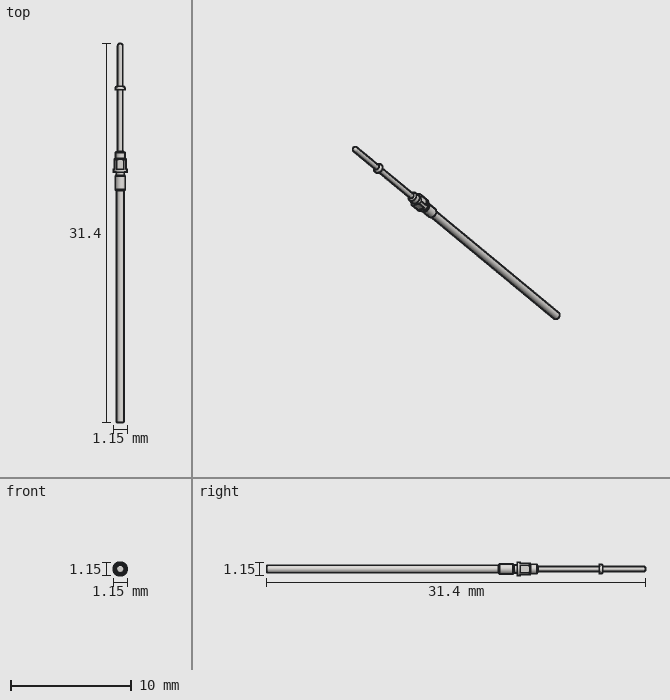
import math

import cadquery as cq

total_length = 31.4
tip_y = total_length / 2

plunger_radius = 0.45 / 2
collar_radius = 0.8 / 2
shoulder_radius = 0.8 / 2
head_radius = 1.15 / 2
neck_radius = 0.68 / 2
sleeve_radius = 0.85 / 2
barrel_radius = 0.65 / 2
barrel_end_fillet = 0.15

collar_start = 3.55
collar_end = 3.85
shoulder_start = 8.92
shoulder_end = 9.53
flats_end = 10.4
head_end = 10.65
sleeve_start = 10.9
sleeve_end = 12.2

shoulder_taper = 0.13
head_taper = 0.12
sleeve_taper = 0.12

flats_width = 0.98


def at(radius, station):
    """Profile point (Y, Z) at a radius and a distance from the tip."""
    return (tip_y - station, radius)


def make_turned_body():
    """The whole pin as one profile turned about the Y axis."""
    diagonal = math.sqrt(0.5)
    tip_dome_middle = at(plunger_radius * diagonal, plunger_radius * (1 - diagonal))
    collar_round = collar_radius - plunger_radius
    collar_round_middle = at(
        plunger_radius + collar_round * diagonal,
        collar_start + collar_round * (1 - diagonal),
    )
    fillet_inset = barrel_end_fillet * (1 - diagonal)
    profile = (
        cq.Workplane("YZ")
        .moveTo(*at(0, 0))
        .threePointArc(tip_dome_middle, at(plunger_radius, plunger_radius))
        .lineTo(*at(plunger_radius, collar_start))
        .threePointArc(collar_round_middle, at(collar_radius, collar_start + collar_round))
        .lineTo(*at(collar_radius, collar_end))
        .lineTo(*at(plunger_radius, collar_end))
        .lineTo(*at(plunger_radius, shoulder_start))
        .lineTo(*at(shoulder_radius, shoulder_start + shoulder_taper))
        .lineTo(*at(shoulder_radius, shoulder_end))
        .lineTo(*at(head_radius, shoulder_end + head_taper))
        .lineTo(*at(head_radius, head_end))
        .lineTo(*at(neck_radius, head_end))
        .lineTo(*at(neck_radius, sleeve_start))
        .lineTo(*at(sleeve_radius, sleeve_start + sleeve_taper))
        .lineTo(*at(sleeve_radius, sleeve_end - sleeve_taper))
        .lineTo(*at(barrel_radius, sleeve_end))
        .lineTo(*at(barrel_radius, total_length - barrel_end_fillet))
        .threePointArc(
            at(barrel_radius - fillet_inset, total_length - fillet_inset),
            at(barrel_radius - barrel_end_fillet, total_length),
        )
        .lineTo(*at(0, total_length))
        .close()
    )
    return profile.revolve(360, (0, 0, 0), (1, 0, 0))


def make_flats_cutter():
    """Square tube that trims the front of the head to four flats, facing X and Z."""
    outer_width = 4 * head_radius
    return (
        cq.Workplane("XZ", origin=(0, tip_y - shoulder_end, 0))
        .rect(outer_width, outer_width)
        .rect(flats_width, flats_width)
        .extrude(flats_end - shoulder_end)
    )


result = make_turned_body().cut(make_flats_cutter())